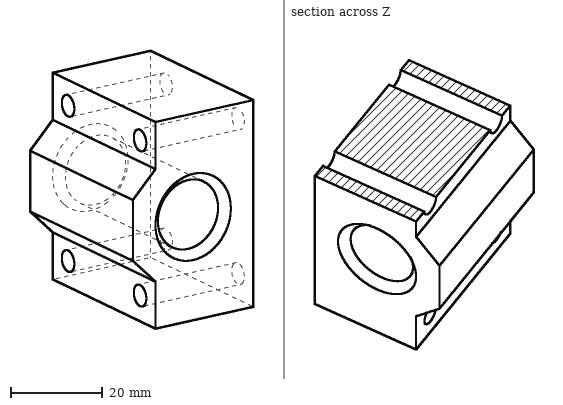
import cadquery as cq

length = 40.0
depth = 32.0
height = 48.0

nose_rise = 6.0
nose_root_height = 26.1
nose_tip_height = nose_root_height - 2 * nose_rise

bore_diameter = 16.0
countersink_width = 2.0

mount_diameter = 4.9
mount_spacing_x = 28.0
mount_spacing_z = 36.0

front_y = -depth / 2
flange_y = front_y + nose_rise
back_y = depth / 2


def make_body():
    """Extrude the housing profile along X, centred on the origin."""
    profile = [
        (back_y, -height / 2),
        (flange_y, -height / 2),
        (flange_y, -nose_root_height / 2),
        (front_y, -nose_tip_height / 2),
        (front_y, nose_tip_height / 2),
        (flange_y, nose_root_height / 2),
        (flange_y, height / 2),
        (back_y, height / 2),
    ]
    return cq.Workplane("YZ").polyline(profile).close().extrude(length / 2, both=True)


def cut_bore(body):
    """Cut the through bore and countersink both of its mouths."""
    bore = cq.Workplane("YZ").circle(bore_diameter / 2).extrude(length / 2, both=True)
    bored = body.cut(bore)
    mouths = bored.faces("<X or >X").edges("%CIRCLE")
    return mouths.chamfer(countersink_width)


def cut_mounting_holes(body):
    """Cut the four mounting holes through the flanges."""
    holes = (
        cq.Workplane("XZ")
        .rarray(mount_spacing_x, mount_spacing_z, 2, 2)
        .circle(mount_diameter / 2)
        .extrude(depth / 2, both=True)
    )
    return body.cut(holes)


result = cut_mounting_holes(cut_bore(make_body()))